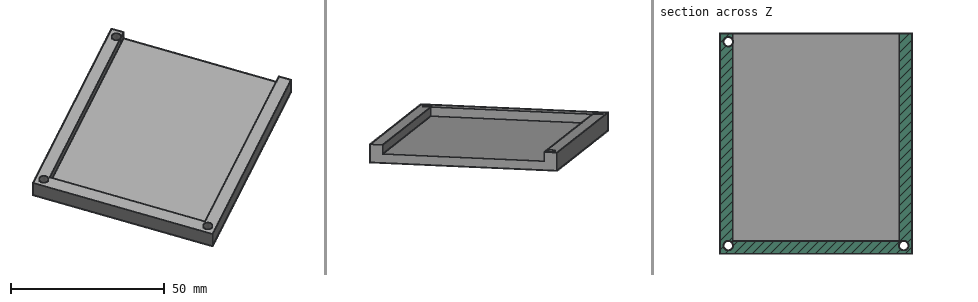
import cadquery as cq

width = 62.4
length = 71.7
height = 6.0

rim_width = 4.2
recess_depth = 3.0

hole_diameter = 3.0
hole_inset = 2.7


def make_tray():
    """Plate with a raised rim along its -X, +X and -Y edges."""
    plate = cq.Workplane("XY").box(width, length, height, centered=False)
    recess = (
        cq.Workplane("XY")
        .box(width - 2 * rim_width, length - rim_width, recess_depth, centered=False)
        .translate((rim_width, rim_width, height - recess_depth))
    )
    return plate.cut(recess)


def make_corner_holes():
    """Cylinders for the holes; the +X, +Y corner has none."""
    centers = [
        (hole_inset, hole_inset),
        (width - hole_inset, hole_inset),
        (hole_inset, length - hole_inset),
    ]
    return cq.Workplane("XY").pushPoints(centers).circle(hole_diameter / 2).extrude(height)


result = make_tray().cut(make_corner_holes())